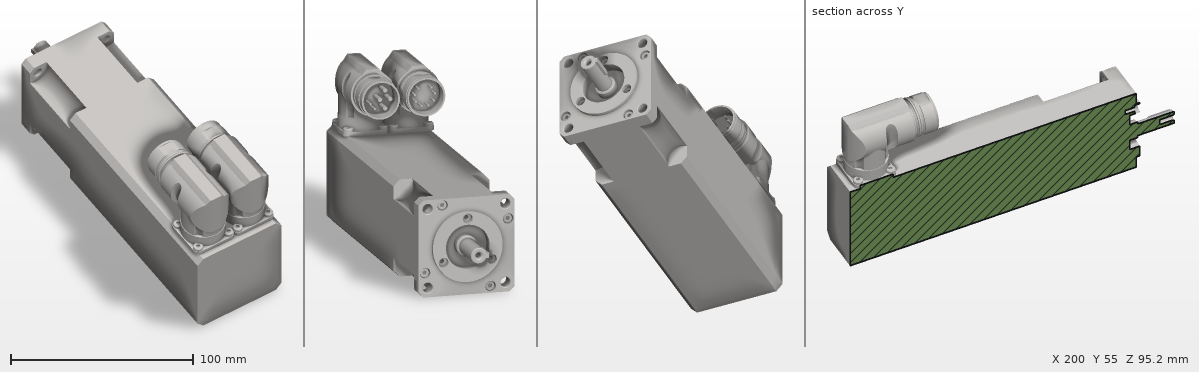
import cadquery as cq
import math


SIZE = 55.0
HALF = SIZE / 2
HOUSING_LENGTH = 176.5
FLANGE_THICKNESS = 8.5
FLANGE_CHAMFER = 2.8
BODY_CHAMFER = 3.7
POCKET_LENGTH = 40.0
POCKET_RADIUS = 8.0
POCKET_CENTRE = HALF - BODY_CHAMFER

PILOT_DIAMETER = 40.0
PILOT_HEIGHT = 2.2
RECESS_DIAMETER = 25.0
RECESS_DEPTH = 4.0
BOLT_CIRCLE = 63.0
BOLT_HOLE = 5.6
BOLT_HOLE_SINK = 6.4
COVER_SCREW_CIRCLE = 55.0
COVER_SCREW_BORE = 6.0
COVER_SCREW_BORE_DEPTH = 3.5
COVER_SCREW_HEAD = 5.0
COVER_SCREW_HEAD_HEIGHT = 2.3
COVER_SCREW_SOCKET = 2.6
COVER_SCREW_SOCKET_DEPTH = 1.5
PILOT_HOLE_CIRCLE = 32.0
PILOT_HOLE_BORE = 5.6
PILOT_HOLE_BORE_DEPTH = 3.0
PILOT_HOLE_CORE = 2.5
PILOT_HOLE_CORE_DEPTH = 6.0

SHAFT_DIAMETER = 9.0
SHAFT_TIP = -23.5
SHAFT_CHAMFER = 0.4
SHAFT_COLLAR_DIAMETER = 12.0
SHAFT_COLLAR_TIP = -1.0
SHAFT_COLLAR_CHAMFER = 0.6
CENTRE_HOLE = 3.2
CENTRE_HOLE_DEPTH = 9.0
CENTRE_SINK = 5.0
KEY_WIDTH = 3.0
KEY_LENGTH = 14.0
KEY_TOP = 5.7

CONNECTOR_X = 160.0
CONNECTOR_Y = 13.0
PLUG_AXIS_Z = 53.8
BASE_SIZE = 26.0
BASE_THICKNESS = 2.4
BASE_CORNER = 3.0
BASE_TOP = HALF + BASE_THICKNESS
BASE_COLLAR_RADIUS = 12.5
BASE_COLLAR_TOP = 37.1
NECK_RADIUS = 12.2
SCREW_OFFSET = BASE_SIZE / 2 - BASE_CORNER
SCREW_HEAD = 5.5
SCREW_HEAD_HEIGHT = 1.9
SCREW_HEAD_CHAMFER = 0.4
SCREW_SOCKET = 2.5
SCREW_SOCKET_DEPTH = 1.2
CLEARANCE_RADIUS = 3.45
ELBOW_CLEARANCE_OFFSET = 12.0
ELBOW_RADIUS = 12.6
ELBOW_START = 136.0
ELBOW_END = CONNECTOR_X + BASE_SIZE / 2
REAR_ROUNDING_LENGTH = 6.6
REAR_MID_SETBACK = 1.6
REAR_MID_HALF_WIDTH = 7.0
REAR_FLAT_HALF_WIDTH = 3.0
RIDGE_TOP = 67.72
RIDGE_HALF_WIDTH = 3.65
RIDGE_FOOT_HALF_WIDTH = 6.1

SOCKET_MOUTH = 120.5
SOCKET_RADIUS = 11.3
SOCKET_RIM_RADIUS = 10.9
SOCKET_RIDGE_RADIUS = 11.5
SOCKET_GROOVE_RADIUS = 10.6
SOCKET_FLAT = 10.25
SOCKET_BORE_RADIUS = 9.9
PIN_CIRCLE_RADIUS = 5.85


def cylinder_x(radius, start, end, y=0.0, z=0.0):
    """Cylinder along X between two x positions."""
    return cq.Workplane("YZ", origin=(start, y, z)).circle(radius).extrude(end - start)


def countersink_x(mouth_radius, hole_radius, start, y=0.0, z=0.0):
    """45 degree cone that widens a hole along X at its mouth."""
    depth = mouth_radius - hole_radius
    return cq.Workplane(cq.Solid.makeCone(
        mouth_radius, hole_radius, depth, pnt=cq.Vector(start, y, z), dir=cq.Vector(1, 0, 0)
    ))


def cylinder_z(radius, x, y, bottom, top):
    """Cylinder along Z between two heights."""
    return cq.Workplane("XY", origin=(x, y, bottom)).circle(radius).extrude(top - bottom)


def box_between(low, high):
    """Box between two opposite corners."""
    sizes = [b - a for a, b in zip(low, high)]
    return cq.Workplane("XY", origin=low).box(*sizes, centered=False)


def ring_points(radius, angles):
    """(y, z) points on a circle about the shaft axis, angles in degrees from +Y towards +Z."""
    return [(radius * math.cos(math.radians(a)), radius * math.sin(math.radians(a))) for a in angles]


def square_bar(start, length, chamfer):
    """Square bar along X with chamfered long edges."""
    bar = cq.Workplane("YZ", origin=(start, 0, 0)).rect(SIZE, SIZE).extrude(length)
    return bar.edges("|X").chamfer(chamfer)


def housing():
    motor = square_bar(0, FLANGE_THICKNESS, FLANGE_CHAMFER)
    body_length = HOUSING_LENGTH - FLANGE_THICKNESS
    motor = motor.union(square_bar(FLANGE_THICKNESS, body_length, BODY_CHAMFER))
    pocket_end = FLANGE_THICKNESS + POCKET_LENGTH
    for y_side in (-1, 1):
        for z_side in (-1, 1):
            y = y_side * POCKET_CENTRE
            z = z_side * POCKET_CENTRE
            motor = motor.cut(cylinder_x(POCKET_RADIUS, FLANGE_THICKNESS, pocket_end, y, z))
    return motor


def flange_details(motor):
    motor = motor.union(cylinder_x(PILOT_DIAMETER / 2, -PILOT_HEIGHT, FLANGE_THICKNESS))
    motor = motor.cut(cylinder_x(RECESS_DIAMETER / 2, -PILOT_HEIGHT, RECESS_DEPTH))
    for y, z in ring_points(BOLT_CIRCLE / 2, (45, 135, 225, 315)):
        motor = motor.cut(cylinder_x(BOLT_HOLE / 2, 0, FLANGE_THICKNESS, y, z))
        motor = motor.cut(countersink_x(BOLT_HOLE_SINK / 2, BOLT_HOLE / 2, 0, y, z))
    for y, z in ring_points(COVER_SCREW_CIRCLE / 2, (60, 150, 240, 330)):
        motor = motor.cut(cylinder_x(COVER_SCREW_BORE / 2, 0, COVER_SCREW_BORE_DEPTH, y, z))
        head_front = COVER_SCREW_BORE_DEPTH - COVER_SCREW_HEAD_HEIGHT
        motor = motor.union(cylinder_x(COVER_SCREW_HEAD / 2, head_front, COVER_SCREW_BORE_DEPTH, y, z))
        socket = cq.Workplane("YZ", origin=(head_front, y, z)).polygon(6, COVER_SCREW_SOCKET)
        motor = motor.cut(socket.extrude(COVER_SCREW_SOCKET_DEPTH))
    for y, z in ring_points(PILOT_HOLE_CIRCLE / 2, (90, 210, 330)):
        bore_end = PILOT_HOLE_BORE_DEPTH - PILOT_HEIGHT
        core_end = bore_end + PILOT_HOLE_CORE_DEPTH
        motor = motor.cut(cylinder_x(PILOT_HOLE_BORE / 2, -PILOT_HEIGHT, bore_end, y, z))
        motor = motor.cut(cylinder_x(PILOT_HOLE_CORE / 2, bore_end, core_end, y, z))
    return motor


def shaft():
    bar = cylinder_x(SHAFT_DIAMETER / 2, SHAFT_TIP, RECESS_DEPTH)
    bar = bar.faces("<X").chamfer(SHAFT_CHAMFER)
    collar = cylinder_x(SHAFT_COLLAR_DIAMETER / 2, SHAFT_COLLAR_TIP, RECESS_DEPTH)
    bar = bar.union(collar.faces("<X").chamfer(SHAFT_COLLAR_CHAMFER))
    round_centre = SHAFT_TIP + KEY_LENGTH - KEY_WIDTH / 2
    key = (
        cq.Workplane("XZ")
        .moveTo(SHAFT_TIP, -KEY_WIDTH / 2)
        .lineTo(round_centre, -KEY_WIDTH / 2)
        .threePointArc((SHAFT_TIP + KEY_LENGTH, 0), (round_centre, KEY_WIDTH / 2))
        .lineTo(SHAFT_TIP, KEY_WIDTH / 2)
        .close()
        .extrude(KEY_TOP)
    )
    bar = bar.union(key)
    bar = bar.cut(cylinder_x(CENTRE_HOLE / 2, SHAFT_TIP, SHAFT_TIP + CENTRE_HOLE_DEPTH))
    return bar.cut(countersink_x(CENTRE_SINK / 2, CENTRE_HOLE / 2, SHAFT_TIP))


def connector_base(y):
    base = cq.Workplane("XY", origin=(CONNECTOR_X, y, HALF)).rect(BASE_SIZE, BASE_SIZE)
    base = base.extrude(BASE_THICKNESS).edges("|Z").fillet(BASE_CORNER)
    base = base.union(cylinder_z(BASE_COLLAR_RADIUS, CONNECTOR_X, y, BASE_TOP, BASE_COLLAR_TOP))
    neck = cylinder_z(NECK_RADIUS, CONNECTOR_X, y, BASE_COLLAR_TOP, PLUG_AXIS_Z)
    for x_side in (-1, 1):
        for y_side in (-1, 1):
            screw_x = CONNECTOR_X + x_side * SCREW_OFFSET
            screw_y = y + y_side * SCREW_OFFSET
            neck = neck.cut(cylinder_z(CLEARANCE_RADIUS, screw_x, screw_y, BASE_COLLAR_TOP, PLUG_AXIS_Z))
            head_top = BASE_TOP + SCREW_HEAD_HEIGHT
            head = cylinder_z(SCREW_HEAD / 2, screw_x, screw_y, BASE_TOP, head_top)
            base = base.union(head.faces(">Z").chamfer(SCREW_HEAD_CHAMFER))
            socket = cq.Workplane("XY", origin=(screw_x, screw_y, head_top)).polygon(6, SCREW_SOCKET)
            base = base.cut(socket.extrude(-SCREW_SOCKET_DEPTH))
    return base.union(neck)


def elbow(y):
    """Horizontal connector body: a cylinder with a flat-topped ridge and rounded rear corners."""
    body = cylinder_x(ELBOW_RADIUS, ELBOW_START, ELBOW_END, y, PLUG_AXIS_Z)
    ridge_height = RIDGE_TOP - PLUG_AXIS_Z
    foot_height = math.sqrt(ELBOW_RADIUS**2 - RIDGE_FOOT_HALF_WIDTH**2)
    ridge = (
        cq.Workplane("YZ", origin=(ELBOW_START, y, PLUG_AXIS_Z))
        .polyline([
            (-RIDGE_FOOT_HALF_WIDTH, 0),
            (RIDGE_FOOT_HALF_WIDTH, 0),
            (RIDGE_FOOT_HALF_WIDTH, foot_height),
            (RIDGE_HALF_WIDTH, ridge_height),
            (-RIDGE_HALF_WIDTH, ridge_height),
            (-RIDGE_FOOT_HALF_WIDTH, foot_height),
        ])
        .close()
        .extrude(ELBOW_END - ELBOW_START)
    )
    body = body.union(ridge)
    rear_flank = ELBOW_END - REAR_ROUNDING_LENGTH
    mid_x = ELBOW_END - REAR_MID_SETBACK
    bottom = PLUG_AXIS_Z - ELBOW_RADIUS
    for side in (-1, 1):
        corner = (
            cq.Workplane("XY", origin=(0, y, bottom))
            .moveTo(rear_flank, side * ELBOW_RADIUS)
            .threePointArc((mid_x, side * REAR_MID_HALF_WIDTH), (ELBOW_END, side * REAR_FLAT_HALF_WIDTH))
            .lineTo(ELBOW_END, side * ELBOW_RADIUS)
            .close()
            .extrude(RIDGE_TOP - bottom)
        )
        body = body.cut(corner)
    return body


def cut_elbow_clearance(connector, y):
    """Screwdriver grooves down both flanks, above the front base screws."""
    for side in (-1, 1):
        groove_x = CONNECTOR_X - SCREW_OFFSET
        groove_y = y + side * ELBOW_CLEARANCE_OFFSET
        groove = cylinder_z(CLEARANCE_RADIUS, groove_x, groove_y, BASE_COLLAR_TOP, RIDGE_TOP)
        connector = connector.cut(groove)
    return connector


def socket_shell(y, design):
    """Stepped tube with a flat on top and underneath, bored from the mouth."""
    sections = design["sections"]
    ends = [start for start, _ in sections[1:]] + [ELBOW_START]
    shell = cq.Workplane("XY")
    for (start, radius), end in zip(sections, ends):
        shell = shell.union(cylinder_x(radius, start, end, y, PLUG_AXIS_Z))
    flat_start, flat_end = design["flats"]
    above = box_between(
        (flat_start, y - ELBOW_RADIUS, PLUG_AXIS_Z + SOCKET_FLAT),
        (flat_end, y + ELBOW_RADIUS, RIDGE_TOP),
    )
    below = above.mirror("XY", (0, 0, PLUG_AXIS_Z))
    floor = SOCKET_MOUTH + design["depth"]
    bore = cylinder_x(SOCKET_BORE_RADIUS, SOCKET_MOUTH, floor, y, PLUG_AXIS_Z)
    return shell.cut(above).cut(below).cut(bore)


def add_pins(connector, y, design):
    """Contact pins standing on the socket floor; angles run from -Y towards +Z."""
    tip = SOCKET_MOUTH + design["pin_setback"]
    floor = SOCKET_MOUTH + design["depth"]
    for radius, angle, diameter in design["pins"]:
        pin_y = y - radius * math.cos(math.radians(angle))
        pin_z = PLUG_AXIS_Z + radius * math.sin(math.radians(angle))
        connector = connector.union(cylinder_x(diameter / 2, tip, floor, pin_y, pin_z))
    return connector


POWER_PIN = 2.4
SMALL_PIN = 1.2
POWER_FLATS = (125.4, 132.2)
POWER_SOCKET = {
    "sections": [
        (SOCKET_MOUTH, SOCKET_RIM_RADIUS),
        (POWER_FLATS[0], SOCKET_RADIUS),
        (POWER_FLATS[1], SOCKET_GROOVE_RADIUS),
        (132.6, SOCKET_RIDGE_RADIUS),
        (133.6, SOCKET_GROOVE_RADIUS),
        (134.8, SOCKET_RADIUS),
    ],
    "flats": POWER_FLATS,
    "depth": 11.0,
    "pin_setback": 1.5,
    "pins": [(0, 0, POWER_PIN)]
    + [(PIN_CIRCLE_RADIUS, angle, POWER_PIN) for angle in (60, 0, -60)]
    + [(PIN_CIRCLE_RADIUS, angle, SMALL_PIN) for angle in (200, 240)],
}
TOP_ANGLE = 90
SIGNAL_PIN_PITCH = 40
SIGNAL_PIN_COUNT = 8
SIGNAL_FLATS = (122.0, 128.9)
SIGNAL_SOCKET = {
    "sections": [
        (SOCKET_MOUTH, SOCKET_RIM_RADIUS),
        (SIGNAL_FLATS[0], SOCKET_RADIUS),
        (SIGNAL_FLATS[1], SOCKET_GROOVE_RADIUS),
        (130.6, SOCKET_RADIUS),
        (131.4, SOCKET_GROOVE_RADIUS),
        (131.8, SOCKET_RIDGE_RADIUS),
        (132.7, SOCKET_GROOVE_RADIUS),
        (134.4, SOCKET_RADIUS),
    ],
    "flats": SIGNAL_FLATS,
    "depth": 8.8,
    "pin_setback": 2.6,
    "pins": [
        (PIN_CIRCLE_RADIUS, TOP_ANGLE + step * SIGNAL_PIN_PITCH, SMALL_PIN)
        for step in range(1, SIGNAL_PIN_COUNT + 1)
    ],
}


def connector(y, design):
    whole = connector_base(y).union(elbow(y))
    whole = cut_elbow_clearance(whole, y)
    whole = whole.union(socket_shell(y, design))
    return add_pins(whole, y, design)


motor = flange_details(housing()).union(shaft())
power = connector(CONNECTOR_Y, POWER_SOCKET)
signal = connector(-CONNECTOR_Y, SIGNAL_SOCKET)
result = motor.union(power).union(signal)